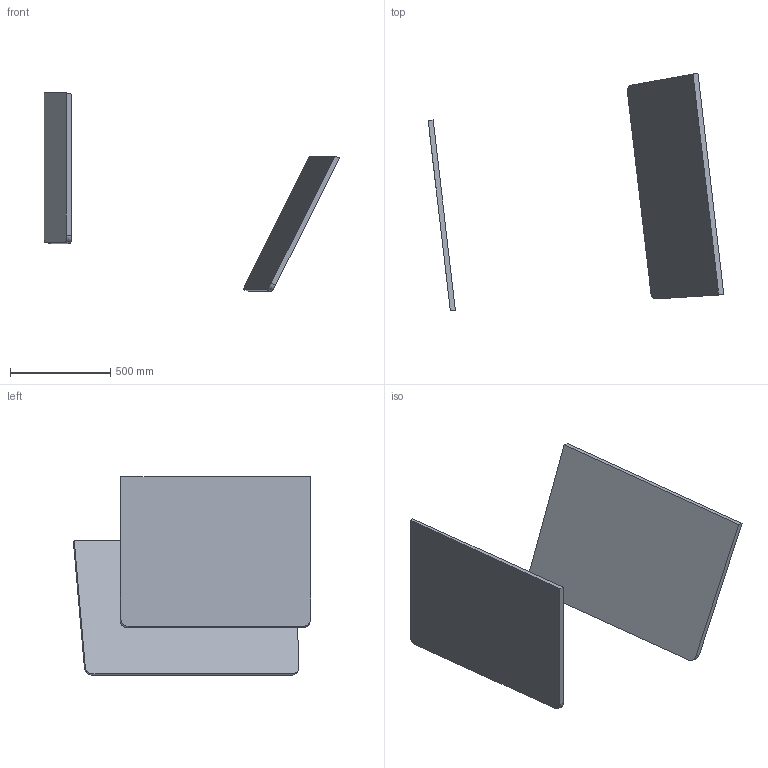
import math

import cadquery as cq

FRONT_WIDTH = 952.0
HEIGHT = 745.0
SIDE_FLARE = 3.34
FALL = 13.31
CORNER_RADIUS = 36.0
ENVELOPE_LENGTH = 1500.0
YAW = 6.66

THICKNESS = 25.0
LEAN = 26.7
LEANING_X = 1122.3


def rise(length, degrees):
    """Sideways travel of a line that runs over a length at an angle to it."""
    return length * math.tan(math.radians(degrees))


def envelope():
    """Flaring, falling block with its two lower lengthwise edges rounded."""
    def section(x):
        half_width = FRONT_WIDTH / 2 + rise(x, SIDE_FLARE)
        floor = -rise(x, FALL)
        corners = [
            cq.Vector(x, -half_width, floor),
            cq.Vector(x, half_width, floor),
            cq.Vector(x, half_width, floor + HEIGHT),
            cq.Vector(x, -half_width, floor + HEIGHT),
        ]
        return cq.Wire.makePolygon(corners, close=True)

    block = cq.Workplane(cq.Solid.makeLoft([section(0), section(ENVELOPE_LENGTH)], True))
    floor_side_edges = block.faces("<Z").edges("not |Y")
    return floor_side_edges.fillet(CORNER_RADIUS)


def panel(front_x, lean):
    """Slice of the envelope whose front face crosses Z = 0 at front_x and leans towards +X."""
    slab_size = 2 * ENVELOPE_LENGTH
    slab = (
        cq.Workplane("YZ")
        .rect(slab_size, slab_size)
        .extrude(THICKNESS)
        .rotate((0, 0, 0), (0, 1, 0), lean)
        .translate((front_x, 0, 0))
    )
    return envelope().intersect(slab).rotate((0, 0, 0), (0, 0, 1), YAW)


upright_panel = panel(front_x=0, lean=0)
leaning_panel = panel(front_x=LEANING_X, lean=LEAN)

result = cq.Compound.makeCompound([upright_panel.val(), leaning_panel.val()])